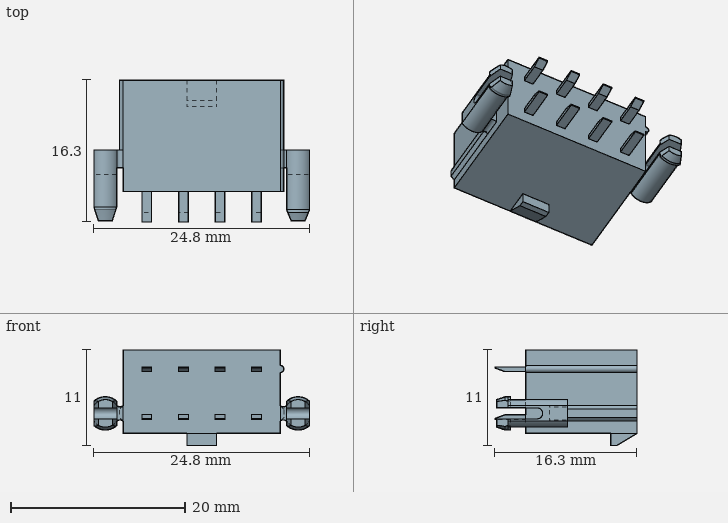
import cadquery as cq



HOUSING_WIDTH = 18.04
HOUSING_DEPTH = 12.8
HOUSING_HEIGHT = 9.6
HALF_WIDTH = HOUSING_WIDTH / 2

PIN_COLUMNS = 4
PIN_PITCH = 4.2
ROW_SPACING = 5.5
LOWER_ROW_Z = 1.865
UPPER_ROW_Z = LOWER_ROW_Z + ROW_SPACING
PIN_WIDTH = 1.12
PIN_THICKNESS = 0.57
PIN_LENGTH = 3.5
PIN_BEVEL_LENGTH = 1.12
PIN_TIP_THICKNESS = 0.16

LATCH_WIDTH = 3.4
LATCH_DEPTH = 3.04
LATCH_HEIGHT = 1.4
LATCH_FLAT = 0.7

OVERALL_WIDTH = 24.78
PEG_WIDTH = 2.65
PEG_X = (OVERALL_WIDTH - PEG_WIDTH) / 2
PEG_Z = 2.3
PEG_BACK_Y = 4.8
PEG_TIP_Y = -3.35
SHAFT_RADIUS = 1.59
HEAD_RADIUS = 1.92
LEFT_HEAD_BACK_Y = -1.74
RIGHT_HEAD_BACK_Y = -2.06
HEAD_RIM_LENGTH = 0.3
TIP_RADIUS = 1.58
TIP_WIDTH = 1.6
SLOT_WIDTH = 1.25
SLOT_END_Y = 1.95

NECK_LENGTH = 2.07
NECK_HALF_HEIGHT = 0.9
NECK_WAIST_HALF_HEIGHT = 0.76

RIB_PROJECTION = 0.42
RIB_BASE_HEIGHT = 1.78
RIB_CREST_HEIGHT = 0.97

KEY_RADIUS = 0.42
KEY_Z = 7.4


def section(y_start):
    """Sketch plane with local axes X and Z whose extrusions run from y_start toward -Y."""
    return cq.Workplane("XZ", origin=(0, y_start, 0))


def make_housing():
    return cq.Workplane("XY").box(
        HOUSING_WIDTH, HOUSING_DEPTH, HOUSING_HEIGHT, centered=(True, False, False)
    )


def make_pin(x, z, bevel_side):
    """Flat pin; bevel_side is +1 when the tip is bevelled on top and -1 when underneath."""
    flat_z = z - bevel_side * PIN_THICKNESS / 2
    bevelled_z = z + bevel_side * PIN_THICKNESS / 2
    tip_z = flat_z + bevel_side * PIN_TIP_THICKNESS
    profile = [
        (0, flat_z),
        (-PIN_LENGTH, flat_z),
        (-PIN_LENGTH, tip_z),
        (-PIN_LENGTH + PIN_BEVEL_LENGTH, bevelled_z),
        (0, bevelled_z),
    ]
    pin = cq.Workplane("YZ").polyline(profile).close().extrude(PIN_WIDTH / 2, both=True)
    return pin.translate((x, 0, 0))


def make_latch():
    front_y = HOUSING_DEPTH - LATCH_DEPTH
    profile = [
        (front_y, 0),
        (front_y, -LATCH_HEIGHT),
        (front_y + LATCH_FLAT, -LATCH_HEIGHT),
        (HOUSING_DEPTH, 0),
    ]
    return cq.Workplane("YZ").polyline(profile).close().extrude(LATCH_WIDTH / 2, both=True)


def make_peg(head_back_y):
    """Peg drawn on the +X side, its head starting at head_back_y.

    A turned pin with flat flanks that taper along the head, split by a round-ended slot.
    """
    turned_profile = [
        (0, PEG_BACK_Y),
        (SHAFT_RADIUS, PEG_BACK_Y),
        (SHAFT_RADIUS, head_back_y),
        (HEAD_RADIUS, head_back_y),
        (HEAD_RADIUS, head_back_y - HEAD_RIM_LENGTH),
        (TIP_RADIUS, PEG_TIP_Y),
        (0, PEG_TIP_Y),
    ]
    turned = cq.Workplane("XY").polyline(turned_profile).close().revolve(360, (0, 0), (0, 1))

    flank_outline = [
        (-PEG_WIDTH / 2, PEG_BACK_Y),
        (PEG_WIDTH / 2, PEG_BACK_Y),
        (PEG_WIDTH / 2, head_back_y),
        (TIP_WIDTH / 2, PEG_TIP_Y),
        (-TIP_WIDTH / 2, PEG_TIP_Y),
        (-PEG_WIDTH / 2, head_back_y),
    ]
    flanks = cq.Workplane("XY").polyline(flank_outline).close().extrude(HEAD_RADIUS, both=True)

    slot_radius = SLOT_WIDTH / 2
    slot_arc_y = SLOT_END_Y - slot_radius
    slot = (
        cq.Workplane("YZ")
        .moveTo(PEG_TIP_Y, -slot_radius)
        .lineTo(slot_arc_y, -slot_radius)
        .threePointArc((SLOT_END_Y, 0), (slot_arc_y, slot_radius))
        .lineTo(PEG_TIP_Y, slot_radius)
        .close()
        .extrude(PEG_WIDTH, both=True)
    )
    return turned.intersect(flanks).cut(slot).translate((PEG_X, 0, PEG_Z))


def make_neck():
    """Neck on the +X side, waisted by an arc above and below."""
    peg_face_x = PEG_X - PEG_WIDTH / 2
    waist_x = (HALF_WIDTH + peg_face_x) / 2
    top = PEG_Z + NECK_HALF_HEIGHT
    bottom = PEG_Z - NECK_HALF_HEIGHT
    return (
        section(PEG_BACK_Y)
        .moveTo(HALF_WIDTH, bottom)
        .threePointArc((waist_x, PEG_Z - NECK_WAIST_HALF_HEIGHT), (peg_face_x, bottom))
        .lineTo(peg_face_x, top)
        .threePointArc((waist_x, PEG_Z + NECK_WAIST_HALF_HEIGHT), (HALF_WIDTH, top))
        .close()
        .extrude(NECK_LENGTH)
    )


def make_rib():
    """Rib on the +X side, from the back of the housing to the neck."""
    crest_x = HALF_WIDTH + RIB_PROJECTION
    outline = [
        (HALF_WIDTH, PEG_Z - RIB_BASE_HEIGHT / 2),
        (crest_x, PEG_Z - RIB_CREST_HEIGHT / 2),
        (crest_x, PEG_Z + RIB_CREST_HEIGHT / 2),
        (HALF_WIDTH, PEG_Z + RIB_BASE_HEIGHT / 2),
    ]
    return section(HOUSING_DEPTH).polyline(outline).close().extrude(HOUSING_DEPTH - PEG_BACK_Y)


def make_board_lock(head_back_y):
    return make_peg(head_back_y).union(make_neck()).union(make_rib())


def make_key():
    return section(HOUSING_DEPTH).center(HALF_WIDTH, KEY_Z).circle(KEY_RADIUS).extrude(HOUSING_DEPTH)


result = make_housing().union(make_latch()).union(make_key())

for column in range(PIN_COLUMNS):
    pin_x = (column - (PIN_COLUMNS - 1) / 2) * PIN_PITCH
    result = result.union(make_pin(pin_x, LOWER_ROW_Z, 1))
    result = result.union(make_pin(pin_x, UPPER_ROW_Z, -1))

result = result.union(make_board_lock(RIGHT_HEAD_BACK_Y))
result = result.union(make_board_lock(LEFT_HEAD_BACK_Y).mirror("YZ"))